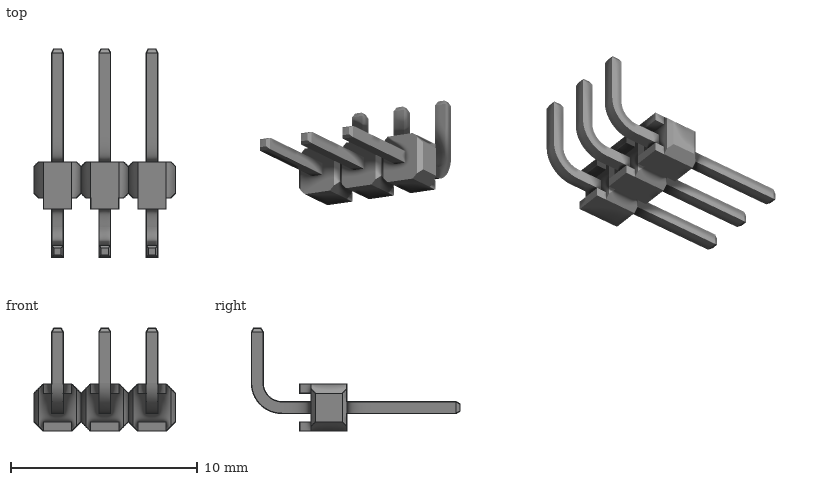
import cadquery as cq
import math


pin_count = 3
row_length = 7.62
pitch = row_length / pin_count
housing_height = pitch
cell_depth = 1.94
corner_chamfer = 0.5
side_chamfer = corner_chamfer / 2
tab_length = pitch - cell_depth
tab_thickness = 0.5
tab_width = pitch - 2 * corner_chamfer

pin_width = 0.64
mating_length = 6.08
pin_length = 11.22
overall_height = 5.54
inner_bend_radius = 1.0
outer_bend_radius = inner_bend_radius + pin_width
tip_length = 0.22
tip_inset = 0.12
tip_width = pin_width - 2 * tip_inset

half_pin = pin_width / 2
upright_top = overall_height - housing_height / 2
outer_face_y = mating_length - pin_length
inner_face_y = outer_face_y + pin_width

pin_positions = [(i - (pin_count - 1) / 2) * pitch for i in range(pin_count)]


def make_cell():
    """One housing cell centred on X = 0, without its pin hole."""
    cell_centre = (0, -cell_depth / 2, 0)
    octagon_block = (
        cq.Workplane("XY")
        .box(pitch, cell_depth, housing_height)
        .edges("|Y")
        .chamfer(corner_chamfer)
    )
    side_chamfered_block = (
        cq.Workplane("XY")
        .box(pitch, cell_depth, housing_height)
        .edges("|Z")
        .chamfer(side_chamfer)
    )
    cell = octagon_block.intersect(side_chamfered_block).translate(cell_centre)

    tab_y = -cell_depth - tab_length / 2
    tab_z = (housing_height - tab_thickness) / 2
    for side in (-1, 1):
        tab = cq.Workplane("XY").box(tab_width, tab_length, tab_thickness)
        cell = cell.union(tab.translate((0, tab_y, side * tab_z)))
    return cell


def make_housing():
    """Row of joined cells with a square through hole for each pin."""
    cell = make_cell()
    pin_hole = (
        cq.Workplane("XY")
        .box(pin_width, cell_depth, pin_width)
        .translate((0, -cell_depth / 2, 0))
    )
    housing = cq.Workplane("XY")
    for x in pin_positions:
        housing = housing.union(cell.translate((x, 0, 0)))
    for x in pin_positions:
        housing = housing.cut(pin_hole.translate((x, 0, 0)))
    return housing


def add_tip(pin, end_face):
    """Extend the selected square end of a pin with a tapered tip."""
    tip = (
        pin.faces(end_face)
        .workplane(centerOption="CenterOfMass")
        .rect(pin_width, pin_width)
        .workplane(offset=tip_length)
        .rect(tip_width, tip_width)
        .loft(ruled=True, combine=False)
    )
    return pin.union(tip)


def make_pin(x):
    """Square pin bent from the +Y mating leg up to the +Z leg."""
    mating_end_y = mating_length - tip_length
    upright_end_z = upright_top - tip_length
    bend_y = outer_face_y + outer_bend_radius
    bend_z = outer_bend_radius - half_pin
    arc_offset = math.sqrt(0.5)
    outer_mid = (bend_y - arc_offset * outer_bend_radius, bend_z - arc_offset * outer_bend_radius)
    inner_mid = (bend_y - arc_offset * inner_bend_radius, bend_z - arc_offset * inner_bend_radius)

    pin = (
        cq.Workplane("YZ")
        .moveTo(mating_end_y, -half_pin)
        .lineTo(bend_y, -half_pin)
        .threePointArc(outer_mid, (outer_face_y, bend_z))
        .lineTo(outer_face_y, upright_end_z)
        .lineTo(inner_face_y, upright_end_z)
        .lineTo(inner_face_y, bend_z)
        .threePointArc(inner_mid, (bend_y, half_pin))
        .lineTo(mating_end_y, half_pin)
        .close()
        .extrude(half_pin, both=True)
    )
    pin = add_tip(pin, ">Y")
    pin = add_tip(pin, ">Z")
    return pin.translate((x, 0, 0))


housing = make_housing()
pins = [make_pin(x) for x in pin_positions]

result = cq.Compound.makeCompound([housing.solids().val(), *[pin.solids().val() for pin in pins]])